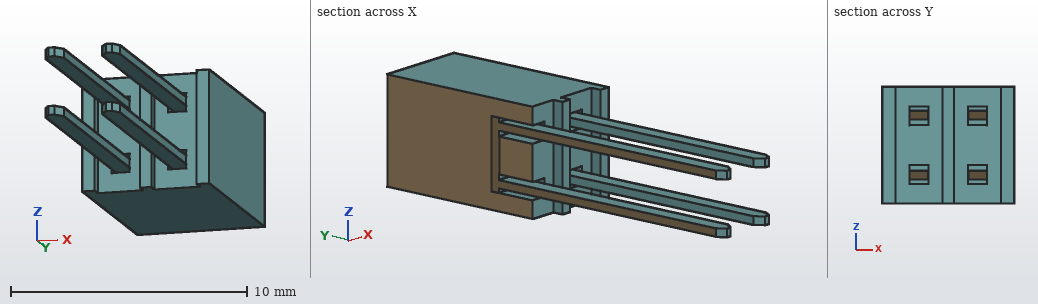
import cadquery as cq

total_length = 18.52
housing_width = 5.6
housing_height = 4.95
housing_length = 8.52
housing_front_y = total_length - housing_length

side_wall = 0.55
middle_rib = 0.5
channel_depth = 0.5
channel_width = (housing_width - 2 * side_wall - middle_rib) / 2
channel_offset = (middle_rib + channel_width) / 2
channel_floor_y = housing_front_y + channel_depth

hole_size = 0.8
hole_pitch = 2.48
hole_depth = 1.85
hole_floor_y = channel_floor_y + hole_depth

pin_width = hole_size
pin_thickness = 0.39
pin_pitch_x = hole_pitch
pin_pitch_z = 2.54
tip_length = 0.4
tip_outer_step = 0.25
tip_inner_step = 0.3

plate_thickness = 0.39
plate_width = hole_pitch + hole_size
plate_height = hole_pitch + hole_size

SIDES = (-1, 1)


def box(width, length, height, x, y_start, z):
    """Box centred on x and z that runs towards +Y from y_start."""
    return cq.Workplane("XY").box(width, length, height).translate((x, y_start + length / 2, z))


def make_plate():
    return box(plate_width, plate_thickness, plate_height, 0, hole_floor_y, 0)


def make_housing():
    body = box(housing_width, housing_length, housing_height, 0, housing_front_y, 0)
    for side in SIDES:
        channel = box(channel_width, channel_depth, housing_height, side * channel_offset, housing_front_y, 0)
        body = body.cut(channel)
        for level in SIDES:
            hole_x = side * hole_pitch / 2
            hole_z = level * hole_pitch / 2
            body = body.cut(box(hole_size, hole_depth, hole_size, hole_x, channel_floor_y, hole_z))
    return body.cut(make_plate())


def make_pin(side, level):
    """Pin with a tapered tip whose flat end lies slightly towards the outside."""
    inner_x = side * (pin_pitch_x - pin_width) / 2
    outer_x = side * (pin_pitch_x + pin_width) / 2
    outline = [
        (inner_x, hole_floor_y),
        (inner_x, tip_length),
        (inner_x + side * tip_inner_step, 0),
        (outer_x - side * tip_outer_step, 0),
        (outer_x, tip_length),
        (outer_x, hole_floor_y),
    ]
    bottom_z = level * pin_pitch_z / 2 - pin_thickness / 2
    return cq.Workplane("XY").workplane(offset=bottom_z).polyline(outline).close().extrude(pin_thickness)


def make_contacts():
    contacts = make_plate()
    for side in SIDES:
        for level in SIDES:
            contacts = contacts.union(make_pin(side, level))
    return contacts


housing = make_housing()
contacts = make_contacts()

result = cq.Compound.makeCompound([housing.val(), contacts.val()])